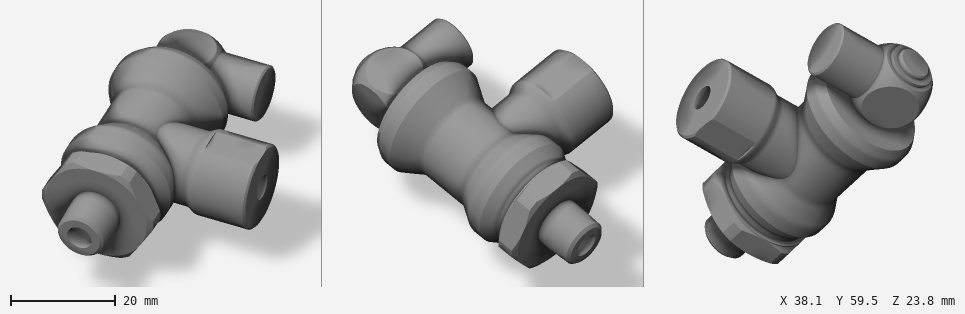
import cadquery as cq
import math

FLARE_SLOPE = math.tan(math.radians(30))

NECK_RADIUS = 8.9
LARGE_COLLAR_RADIUS = 11.9
SMALL_COLLAR_RADIUS = 11.42
SPIGOT_RADIUS = 9.65
GROOVE_RADIUS = 8.95
BODY_TOP = 18.5
LARGE_COLLAR_BOTTOM = 14.0
LARGE_COLLAR_CORNER = 16.65
SMALL_COLLAR_CORNER = -6.8
SMALL_COLLAR_BOTTOM = -9.8
SHOULDER_HEIGHT = -12.2
SPIGOT_BOTTOM = -13.8
NECK_BLEND_RADIUS = 2.8
COLLAR_BLEND_RADIUS = 1.6
SMALL_COLLAR_BLEND_RADIUS = 2.8
SHOULDER_BLEND_RADIUS = 1.6
SPIGOT_BLEND_RADIUS = 0.5

HEX_SIDES = 6
HEX_ACROSS_FLATS = 21.0
HEX_CORNER_RADIUS = 11.55
HEX_TOP = -14.1
HEX_BOTTOM = -19.15
HEX_COLLAR_HEIGHT = 0.3

STUB_END = -27.1
STUB_BASE_RADIUS = 4.98
STUB_GAUGE_RADIUS = 4.9
STUB_TIP_RADIUS = 4.77
STUB_GAUGE_Y = -23.1
STUB_CHAMFER = 0.6
BORE_RADIUS = 2.5
DRILL_TIP_LENGTH = 1.5
BORE_SHOULDER_Y = -0.3

BRANCH_NECK_RADIUS = 7.5
BRANCH_HEAD_RADIUS = 8.5
BRANCH_FLARE_START = 13.25
BRANCH_END = 26.2
BRANCH_FLATS_START = 15.45
BRANCH_ACROSS_FLATS = 16.0
BRANCH_CHAMFER = 0.4
BRANCH_NECK_BLEND_RADIUS = 2.0
BRANCH_HEAD_BLEND_RADIUS = 1.6

ELBOW_SIZE = 12.0
ELBOW_FACE_RADIUS = 5.5
ELBOW_GAP = 0.15
PIVOT_RADIUS = 5.3
TUBE_RADIUS = 5.58
TUBE_END = 15.95
TUBE_CHAMFER = 0.35
CAP_RADIUS = 4.65
CAP_HEIGHT = 0.75
BUTTON_RADIUS = 3.4
BUTTON_HEIGHT = 0.95
BUTTON_CHAMFER = 0.3
ELBOW_BOTTOM = BODY_TOP + ELBOW_GAP
ELBOW_CENTER = ELBOW_BOTTOM + ELBOW_SIZE / 2
ELBOW_TOP = ELBOW_BOTTOM + ELBOW_SIZE


def unit_vector(start, end):
    length = math.dist(start, end)
    return ((end[0] - start[0]) / length, (end[1] - start[1]) / length)


def offset_point(point, direction, distance):
    return (point[0] + distance * direction[0], point[1] + distance * direction[1])


def revolve_profile(points, about_x=False):
    """Solid of revolution from (radius, station) or (radius, station, blend radius) points.

    A corner with a blend radius becomes a tangent arc.
    """

    def place(radius, station):
        return (station, radius) if about_x else (radius, station)

    outline = cq.Workplane("XY").moveTo(*place(*points[0][:2]))
    for index, point in enumerate(points[1:], start=1):
        corner = point[:2]
        if len(point) == 2:
            outline = outline.lineTo(*place(*corner))
            continue
        blend = point[2]
        back = unit_vector(corner, points[index - 1][:2])
        ahead = unit_vector(corner, points[index + 1][:2])
        half_angle = math.acos(back[0] * ahead[0] + back[1] * ahead[1]) / 2
        tangent_length = blend / math.tan(half_angle)
        bisector = unit_vector((0, 0), (back[0] + ahead[0], back[1] + ahead[1]))
        start = offset_point(corner, back, tangent_length)
        middle = offset_point(corner, bisector, blend / math.sin(half_angle) - blend)
        end = offset_point(corner, ahead, tangent_length)
        outline = outline.lineTo(*place(*start)).threePointArc(place(*middle), place(*end))
    outline = outline.close()
    axis_end = (1, 0, 0) if about_x else (0, 1, 0)
    return outline.revolve(360, (0, 0, 0), axis_end)


def cylinder(radius, bottom, top):
    return revolve_profile([(0, bottom), (radius, bottom), (radius, top), (0, top)])


def make_body():
    large_flare_length = (LARGE_COLLAR_RADIUS - NECK_RADIUS) / FLARE_SLOPE
    small_flare_length = (SMALL_COLLAR_RADIUS - NECK_RADIUS) / FLARE_SLOPE
    top_radius = LARGE_COLLAR_RADIUS - (BODY_TOP - LARGE_COLLAR_CORNER) * FLARE_SLOPE
    shoulder_radius = SMALL_COLLAR_RADIUS - (SMALL_COLLAR_BOTTOM - SHOULDER_HEIGHT) * FLARE_SLOPE
    spigot_top = SHOULDER_HEIGHT - (shoulder_radius - SPIGOT_RADIUS)
    return revolve_profile([
        (0, HEX_TOP),
        (GROOVE_RADIUS, HEX_TOP),
        (GROOVE_RADIUS, SPIGOT_BOTTOM),
        (SPIGOT_RADIUS, SPIGOT_BOTTOM),
        (SPIGOT_RADIUS, spigot_top, SPIGOT_BLEND_RADIUS),
        (shoulder_radius, SHOULDER_HEIGHT, SHOULDER_BLEND_RADIUS),
        (SMALL_COLLAR_RADIUS, SMALL_COLLAR_BOTTOM),
        (SMALL_COLLAR_RADIUS, SMALL_COLLAR_CORNER, SMALL_COLLAR_BLEND_RADIUS),
        (NECK_RADIUS, SMALL_COLLAR_CORNER + small_flare_length, NECK_BLEND_RADIUS),
        (NECK_RADIUS, LARGE_COLLAR_BOTTOM - large_flare_length, NECK_BLEND_RADIUS),
        (LARGE_COLLAR_RADIUS, LARGE_COLLAR_BOTTOM),
        (LARGE_COLLAR_RADIUS, LARGE_COLLAR_CORNER, COLLAR_BLEND_RADIUS),
        (top_radius, BODY_TOP),
        (0, BODY_TOP),
    ])


def make_hex():
    face_radius = HEX_ACROSS_FLATS / 2
    chamfer = (HEX_CORNER_RADIUS - face_radius) * FLARE_SLOPE
    across_corners = HEX_ACROSS_FLATS / math.cos(math.pi / HEX_SIDES)
    prism = (
        cq.Workplane("XZ", origin=(0, HEX_TOP, 0))
        .polygon(HEX_SIDES, across_corners)
        .extrude(HEX_TOP - HEX_BOTTOM)
    )
    chamfered_round = revolve_profile([
        (0, HEX_BOTTOM),
        (face_radius, HEX_BOTTOM),
        (HEX_CORNER_RADIUS, HEX_BOTTOM + chamfer),
        (HEX_CORNER_RADIUS, HEX_TOP - HEX_COLLAR_HEIGHT - chamfer),
        (face_radius, HEX_TOP - HEX_COLLAR_HEIGHT),
        (face_radius, HEX_TOP),
        (0, HEX_TOP),
    ])
    return prism.intersect(chamfered_round)


def make_stub():
    return revolve_profile([
        (0, STUB_END),
        (STUB_TIP_RADIUS - STUB_CHAMFER, STUB_END),
        (STUB_TIP_RADIUS, STUB_END + STUB_CHAMFER),
        (STUB_GAUGE_RADIUS, STUB_GAUGE_Y),
        (STUB_BASE_RADIUS, HEX_BOTTOM),
        (0, HEX_BOTTOM),
    ])


def make_branch():
    flare_length = (BRANCH_HEAD_RADIUS - BRANCH_NECK_RADIUS) / FLARE_SLOPE
    branch = revolve_profile([
        (0, 0),
        (BRANCH_NECK_RADIUS, 0),
        (BRANCH_NECK_RADIUS, BRANCH_FLARE_START, BRANCH_NECK_BLEND_RADIUS),
        (BRANCH_HEAD_RADIUS, BRANCH_FLARE_START + flare_length, BRANCH_HEAD_BLEND_RADIUS),
        (BRANCH_HEAD_RADIUS, BRANCH_END - BRANCH_CHAMFER),
        (BRANCH_HEAD_RADIUS - BRANCH_CHAMFER, BRANCH_END),
        (0, BRANCH_END),
    ], about_x=True)
    neck_part = cq.Workplane("XY").box(
        BRANCH_FLATS_START, 2 * BRANCH_HEAD_RADIUS, 2 * BRANCH_HEAD_RADIUS, centered=(False, True, True)
    )
    flatted_part = cq.Workplane("XY").box(
        BRANCH_END, 2 * BRANCH_HEAD_RADIUS, BRANCH_ACROSS_FLATS, centered=(False, True, True)
    )
    return branch.intersect(neck_part.union(flatted_part))


def make_elbow():
    corner_sphere_radius = math.hypot(ELBOW_SIZE / 2, ELBOW_FACE_RADIUS)
    center = (0, ELBOW_CENTER, 0)
    cube = cq.Workplane("XY", origin=center).box(ELBOW_SIZE, ELBOW_SIZE, ELBOW_SIZE)
    block = cube.intersect(cq.Workplane("XY", origin=center).sphere(corner_sphere_radius))
    tube = (
        cq.Workplane("YZ", origin=center)
        .circle(TUBE_RADIUS)
        .extrude(TUBE_END)
        .faces(">X")
        .chamfer(TUBE_CHAMFER)
    )
    pivot = cylinder(PIVOT_RADIUS, BODY_TOP, ELBOW_CENTER)
    cap = cylinder(CAP_RADIUS, ELBOW_CENTER, ELBOW_TOP + CAP_HEIGHT)
    button_top = ELBOW_TOP + CAP_HEIGHT + BUTTON_HEIGHT
    button = cylinder(BUTTON_RADIUS, ELBOW_CENTER, button_top).faces(">Y").chamfer(BUTTON_CHAMFER)
    return block.union(tube).union(pivot).union(cap).union(button)


def make_passage():
    """Two drilled holes meeting in an L, each ending in a drill tip."""
    stub_bore = revolve_profile([
        (0, STUB_END),
        (BORE_RADIUS, STUB_END),
        (BORE_RADIUS, BORE_SHOULDER_Y),
        (0, BORE_SHOULDER_Y + DRILL_TIP_LENGTH),
    ])
    branch_bore = revolve_profile([
        (0, -DRILL_TIP_LENGTH),
        (BORE_RADIUS, 0),
        (BORE_RADIUS, BRANCH_END),
        (0, BRANCH_END),
    ], about_x=True)
    return stub_bore.union(branch_bore)


result = make_body()
for feature in (make_hex(), make_stub(), make_branch(), make_elbow()):
    result = result.union(feature)
result = result.cut(make_passage())